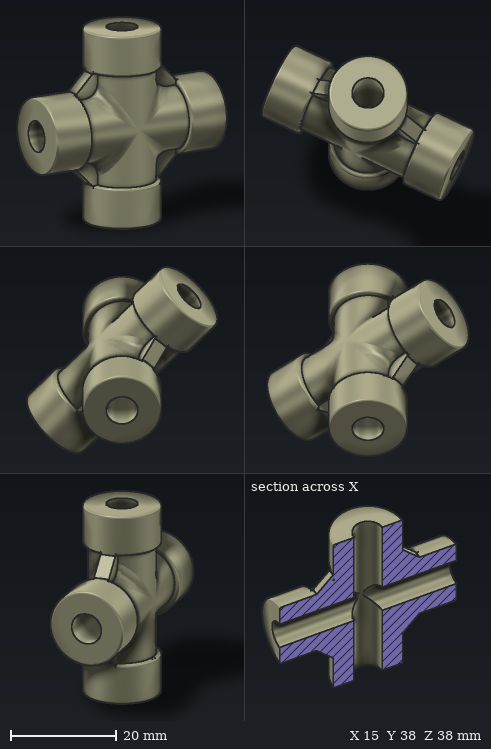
import cadquery as cq

span = 38.0
cap_diameter = 15.0
cap_length = 7.98
neck_diameter = 13.0
bore_diameter = 6.0
edge_radius = 0.5
crotch_radius = 3.0
web_thickness = 3.0

half_span = span / 2
cap_radius = cap_diameter / 2
neck_radius = neck_diameter / 2
cap_inner = half_span - cap_length
quarter_turns = [0, 90, 180, 270]


def turn(body, angle):
    """Rotate a body about the X axis, which is normal to both arms."""
    return body.rotate((0, 0, 0), (1, 0, 0), angle)


def make_cap():
    """Cap at the +Z end, keeping sharp inner rims where the webs run into it."""
    blank = cq.Workplane("XY").workplane(offset=cap_inner).circle(cap_radius).extrude(cap_length)
    outer_rounded = blank.faces(">Z").edges().fillet(edge_radius)
    rounded = outer_rounded.faces("<Z").edges().fillet(edge_radius)
    web_slab = cq.Workplane("XY").box(web_thickness, span, span)
    return rounded.union(outer_rounded.intersect(web_slab))


def make_webs():
    """Plate in the YZ plane whose slanted edges join the inner corners of neighbouring caps."""
    corners = [
        (cap_inner, cap_radius), (cap_radius, cap_inner),
        (-cap_radius, cap_inner), (-cap_inner, cap_radius),
        (-cap_inner, -cap_radius), (-cap_radius, -cap_inner),
        (cap_radius, -cap_inner), (cap_inner, -cap_radius),
    ]
    return cq.Workplane("YZ").polyline(corners).close().extrude(web_thickness / 2, both=True)


def make_blended_necks():
    """Two crossing necks with the creases where they meet rounded out."""
    neck = cq.Workplane("XY").circle(neck_radius).extrude(cap_inner, both=True)
    cross = neck.union(turn(neck, 90))
    middle = cq.selectors.BoxSelector(
        (-cap_radius, -cap_radius, -cap_radius),
        (cap_radius, cap_radius, cap_radius),
    )
    return cross.edges(middle).fillet(crotch_radius)


bore = cq.Workplane("XY").circle(bore_diameter / 2).extrude(half_span, both=True)
cap = make_cap()

result = make_blended_necks().union(make_webs())
for angle in quarter_turns:
    result = result.union(turn(cap, angle))
result = result.cut(bore).cut(turn(bore, 90))